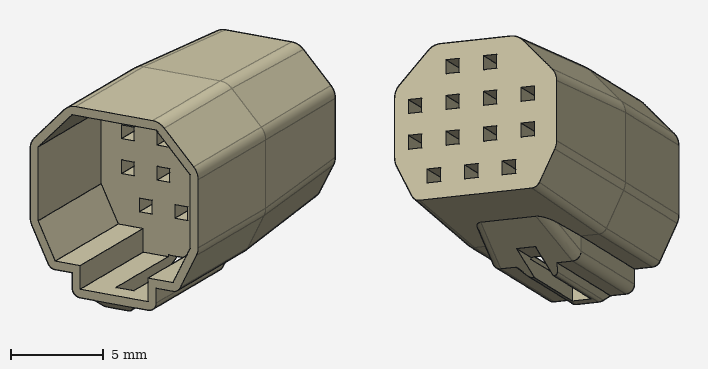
import cadquery as cq
import math


straight_length = 7.5
taper_length = 8.55
body_length = straight_length + taper_length

wall = 0.5
cavity_depth = 7.0

half_width = 5.2
top_z = 4.8
bottom_z = -4.75
top_half_width = 2.81
side_top_z = 2.3
side_bottom_z = -2.24
bottom_half_width = 3.95

back_half_width = 4.75
back_top_z = 4.39
back_bottom_z = -4.25
back_top_half_width = 2.48
back_side_top_z = 2.02
back_side_bottom_z = -1.99
back_bottom_half_width = 3.6

upper_corner_radius = 1.0
bottom_corner_radius = 0.5

key_half_width = 2.6
key_bottom_z = -6.1
key_floor_z = key_bottom_z + wall
key_root_z = bottom_z + 2 * wall
key_corner_radius = 0.5

ramp_slope = 0.4
ramp_length = 4.2
ramp_side_draft = 7.0

rib_half_width = 1.2
rib_height = 0.4
rib_edge_radius = 0.35
rib_bottom_z = key_bottom_z - rib_height
rib_front_chamfer = 0.4

slot_width = 1.1
slot_front_y = 1.2
slot_back_y = 10.0
slot_rise = 0.1
slot_top_z = key_floor_z + slot_rise

pin_hole_size = 0.78
pin_pitch_x = 2.2
pin_pitch_z = 2.0
pin_offset_x = 0.25
pin_offset_z = 0.06
pins_per_row = [3, 4, 4, 2]


def section_plane(y):
    """Plane facing -Y at the given Y, with local axes X and Z."""
    return cq.Workplane("XZ", origin=(0, y, 0))


def mirrored(right_side):
    """Close a symmetric outline from its +X points."""
    left_side = [(-x, z) for x, z in reversed(right_side)]
    return right_side + left_side


def straight_section():
    return mirrored([
        (top_half_width, top_z),
        (half_width, side_top_z),
        (half_width, side_bottom_z),
        (bottom_half_width, bottom_z),
    ])


def back_section():
    return mirrored([
        (back_top_half_width, back_top_z),
        (back_half_width, back_side_top_z),
        (back_half_width, back_side_bottom_z),
        (back_bottom_half_width, back_bottom_z),
    ])


def rounded_outline(plane, corners):
    """Closed (x, z) outline with a tangent arc at each corner; the two middle corners are the lowest."""
    points = [cq.Vector(x, z) for x, z in corners]
    lowest = (len(points) // 2 - 1, len(points) // 2)
    outline = plane
    for index, corner in enumerate(points):
        to_previous = (points[index - 1] - corner).normalized()
        to_next = (points[(index + 1) % len(points)] - corner).normalized()
        half_angle = to_previous.getAngle(to_next) / 2
        radius = bottom_corner_radius if index in lowest else upper_corner_radius
        setback = radius / math.tan(half_angle)
        arc_depth = radius / math.sin(half_angle) - radius
        start = corner + to_previous * setback
        middle = corner + (to_previous + to_next).normalized() * arc_depth
        end = corner + to_next * setback
        outline = outline.moveTo(start.x, start.y) if index == 0 else outline.lineTo(start.x, start.y)
        outline = outline.threePointArc((middle.x, middle.y), (end.x, end.y))
    return outline.close()


def make_body():
    straight = rounded_outline(section_plane(0), straight_section()).extrude(-straight_length)
    taper_start = rounded_outline(section_plane(straight_length), straight_section())
    taper = rounded_outline(taper_start.workplane(offset=-taper_length), back_section()).loft(ruled=True)
    return straight.union(taper)


def key_outline(plane, section_half_width, floor_z):
    """U-shaped key section with rounded lower corners."""
    flat_end = section_half_width - key_corner_radius
    corner_z = floor_z + key_corner_radius
    return (
        plane.moveTo(-section_half_width, key_root_z)
        .lineTo(-section_half_width, corner_z)
        .radiusArc((-flat_end, floor_z), -key_corner_radius)
        .lineTo(flat_end, floor_z)
        .radiusArc((section_half_width, corner_z), -key_corner_radius)
        .lineTo(section_half_width, key_root_z)
        .close()
    )


def make_key():
    straight = key_outline(section_plane(0), key_half_width, key_bottom_z).extrude(-straight_length)
    end_half_width = key_half_width - ramp_length * math.tan(math.radians(ramp_side_draft))
    end_bottom_z = key_bottom_z + ramp_length * ramp_slope
    ramp_start = key_outline(section_plane(straight_length), key_half_width, key_bottom_z)
    ramp_end = key_outline(ramp_start.workplane(offset=-ramp_length), end_half_width, end_bottom_z)
    return straight.union(ramp_end.loft(ruled=True))


def ramp_y(z):
    """Y where the ramp surface, extended, reaches height z."""
    return straight_length + (z - key_bottom_z) / ramp_slope


def make_rib():
    """Bar with 45 degree sides, rounded into its bottom and cut back at both ends."""
    section = [
        (rib_half_width, key_floor_z),
        (rib_half_width, key_bottom_z),
        (rib_half_width - rib_height, rib_bottom_z),
    ]
    bar = section_plane(0).polyline(mirrored(section)).close().extrude(-straight_length)
    bar = bar.edges("|Y and <Z").fillet(rib_edge_radius)
    side = [
        (0, key_floor_z),
        (0, rib_bottom_z + rib_front_chamfer),
        (rib_front_chamfer, rib_bottom_z),
        (ramp_y(rib_bottom_z), rib_bottom_z),
        (ramp_y(key_bottom_z), key_bottom_z),
        (ramp_y(key_bottom_z), key_floor_z),
    ]
    side_shape = cq.Workplane("YZ").polyline(side).close().extrude(rib_half_width, both=True)
    return bar.intersect(side_shape)


def make_cavity():
    outer = section_plane(0).polyline(straight_section()).close().offset2D(-wall).extrude(-cavity_depth)
    notch = (
        cq.Workplane("XY")
        .box(2 * (key_half_width - wall), cavity_depth, -key_floor_z, centered=(True, False, False))
        .translate((0, 0, key_floor_z))
    )
    return outer.union(notch)


def make_slot():
    slot_length = slot_back_y - slot_front_y
    slot_height = slot_top_z - rib_bottom_z
    return (
        cq.Workplane("XY")
        .box(slot_width, slot_length, slot_height, centered=(True, False, False))
        .translate((0, slot_front_y, rib_bottom_z))
    )


def make_pin_holes():
    centers = []
    for row, count in enumerate(pins_per_row):
        z = pin_offset_z + (row - (len(pins_per_row) - 1) / 2) * pin_pitch_z
        for column in range(count):
            x = pin_offset_x + (column - (count - 1) / 2) * pin_pitch_x
            centers.append((x, z))
    holes = section_plane(0).pushPoints(centers).rect(pin_hole_size, pin_hole_size)
    return holes.extrude(-body_length)


outside = make_body().union(make_key()).union(make_rib())
result = outside.cut(make_cavity()).cut(make_slot()).cut(make_pin_holes())